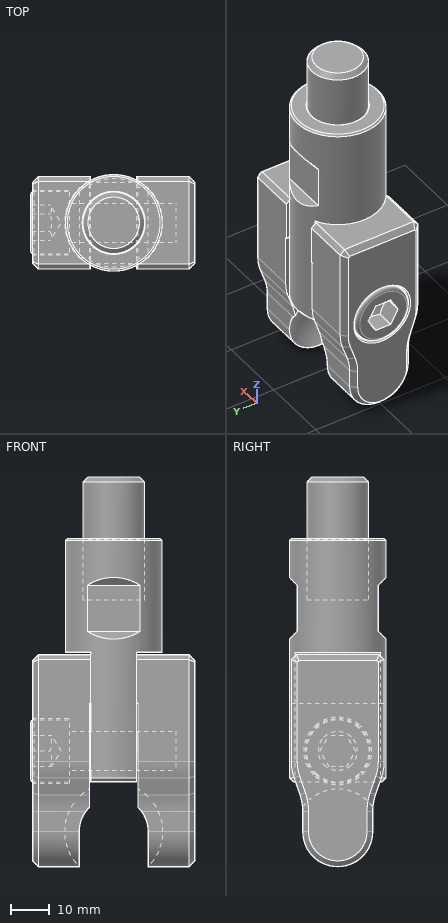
import cadquery as cq
import math


total_height = 101.0
shank_top = 85.0
shoulder_z = 55.6
shank_bottom = 22.0

shank_radius = 12.5
shank_top_chamfer = 0.5
shank_bottom_chamfer = 1.0
tongue_half_width = 6.0
flat_offset = 10.5
flat_bottom = 61.0
flat_top = 72.9

stud_radius = 8.0
stud_chamfer = 1.3
stud_engagement = total_height - shank_top
stud_hole_chamfer = 0.2

jaw_outer_x = 21.0
jaw_half_depth = 12.0
jaw_top = 54.9
jaw_edge_chamfer = 1.3
jaw_face_chamfer = 1.5
tip_radius = 9.1
side_straight_end = 27.3
side_blend_radius = 13.1
side_angle = math.radians(19)
jaw_relief = 0.3
relief_x = tongue_half_width + jaw_relief
relief_top = 42.3
ball_radius = 12.7

screw_z = 30.0
head_radius = 8.1
head_height = 10.0
head_protrusion = 0.5
head_fillet = 0.8
thread_radius = 5.0
thread_end_x = 16.2
hex_flats = 8.0
hex_depth = 5.0
hex_tip_depth = 2.8
head_hole_radius = 8.4
head_hole_chamfer = 0.4

head_x = -jaw_outer_x - head_protrusion
head_seat_x = head_x + head_height


def x_cylinder(radius, x_start, x_end):
    """Cylinder on the clamp screw axis."""
    return (
        cq.Workplane("YZ", origin=(x_start, 0, screw_z))
        .circle(radius)
        .extrude(x_end - x_start)
    )


def z_cylinder(radius, z_start, z_end):
    """Cylinder on the shank axis."""
    return cq.Workplane("XY", origin=(0, 0, z_start)).circle(radius).extrude(z_end - z_start)


def countersink(hole_radius, size, mouth, inward):
    """45 degree cone that chamfers the mouth of a round hole."""
    cone = cq.Solid.makeCone(hole_radius + size, hole_radius, size, mouth, inward)
    return cq.Workplane(cone)


def tongue_side_cutter():
    """Block that takes away the shank on the +X side of the tongue."""
    return cq.Workplane("XY").box(
        shank_radius, 2 * shank_radius, shoulder_z, centered=(False, True, False)
    ).translate((tongue_half_width, 0, 0))


def wrench_flat_cutter():
    """Flat on the -Y side of the shank, its two ends sloping out at 45 degrees."""
    slope = shank_radius - flat_offset
    return (
        cq.Workplane("YZ", origin=(-shank_radius, 0, 0))
        .polyline([
            (-flat_offset, flat_bottom),
            (-flat_offset, flat_top),
            (-flat_offset - slope, flat_top + slope),
            (-flat_offset - slope, flat_bottom - slope),
        ])
        .close()
        .extrude(2 * shank_radius)
    )


def make_shank():
    """Round shank with wrench flats above and a flat tongue between the jaws below."""
    shank = z_cylinder(shank_radius, shank_bottom, shank_top)
    shank = shank.faces(">Z").chamfer(shank_top_chamfer)
    shank = shank.faces("<Z").chamfer(shank_bottom_chamfer)
    for side in (tongue_side_cutter(), tongue_side_cutter().mirror("YZ")):
        shank = shank.cut(side)
    for flat in (wrench_flat_cutter(), wrench_flat_cutter().mirror("XZ")):
        shank = shank.cut(flat)
    stud_hole = z_cylinder(stud_radius, shank_top - stud_engagement, shank_top)
    shank = shank.cut(stud_hole)
    shank = shank.cut(countersink(
        stud_radius, stud_hole_chamfer, cq.Vector(0, 0, shank_top), cq.Vector(0, 0, -1)
    ))
    return shank.cut(x_cylinder(thread_radius, -tongue_half_width, tongue_half_width))


def make_stud():
    """Stud standing in the blind hole of the shank."""
    stud = z_cylinder(stud_radius, shank_top - stud_engagement, total_height)
    return stud.faces(">Z").chamfer(stud_chamfer)


def jaw_outline():
    """Outline of a jaw in Y and Z: wide top, S-shaped sides and a round tip."""
    blend_y = side_blend_radius * (1 - math.cos(side_angle))
    blend_z = side_blend_radius * math.sin(side_angle)
    half_blend_y = side_blend_radius * (1 - math.cos(side_angle / 2))
    half_blend_z = side_blend_radius * math.sin(side_angle / 2)
    slope_y = jaw_half_depth - tip_radius - 2 * blend_y
    slope_z = slope_y / math.tan(side_angle)
    slope_top = side_straight_end - blend_z
    slope_bottom = slope_top - slope_z
    waist_top = slope_bottom - blend_z

    upper_mid = (jaw_half_depth - half_blend_y, side_straight_end - half_blend_z)
    slope_start = (jaw_half_depth - blend_y, slope_top)
    slope_end = (tip_radius + blend_y, slope_bottom)
    lower_mid = (tip_radius + half_blend_y, waist_top + half_blend_z)
    waist_start = (tip_radius, waist_top)

    def opposite(point):
        return (-point[0], point[1])

    return (
        cq.Workplane("YZ")
        .moveTo(jaw_half_depth, jaw_top)
        .lineTo(jaw_half_depth, side_straight_end)
        .threePointArc(upper_mid, slope_start)
        .lineTo(*slope_end)
        .threePointArc(lower_mid, waist_start)
        .lineTo(tip_radius, tip_radius)
        .threePointArc((0, 0), (-tip_radius, tip_radius))
        .lineTo(*opposite(waist_start))
        .threePointArc(opposite(lower_mid), opposite(slope_end))
        .lineTo(*opposite(slope_start))
        .threePointArc(opposite(upper_mid), (-jaw_half_depth, side_straight_end))
        .lineTo(-jaw_half_depth, jaw_top)
        .close()
    )


def make_jaw_blank():
    """Jaw on the +X side without its screw hole."""
    jaw = jaw_outline().extrude(jaw_outer_x)
    jaw = jaw.faces(">Z").edges("|X").chamfer(jaw_edge_chamfer)
    jaw = jaw.faces(">X").chamfer(jaw_face_chamfer)
    tongue_slot = cq.Workplane("XY").box(
        2 * tongue_half_width, 2 * jaw_half_depth, jaw_top, centered=(True, True, False)
    )
    relief = cq.Workplane("XY").box(
        2 * relief_x, 2 * jaw_half_depth, relief_top, centered=(True, True, False)
    )
    ball_seat = cq.Workplane("XY", origin=(0, 0, tip_radius)).sphere(ball_radius)
    return jaw.cut(tongue_slot).cut(relief).cut(ball_seat)


def make_head_jaw():
    """Jaw on the -X side, counterbored for the screw head."""
    jaw = make_jaw_blank().mirror("YZ")
    jaw = jaw.cut(x_cylinder(head_hole_radius, -jaw_outer_x, head_seat_x))
    jaw = jaw.cut(countersink(
        head_hole_radius, head_hole_chamfer, cq.Vector(-jaw_outer_x, 0, screw_z), cq.Vector(1, 0, 0)
    ))
    return jaw.cut(x_cylinder(thread_radius, head_seat_x, 0))


def make_thread_jaw():
    """Jaw on the +X side, with a blind hole for the screw thread."""
    return make_jaw_blank().cut(x_cylinder(thread_radius, 0, thread_end_x))


def hex_socket():
    """Hexagonal socket that ends in a cone reaching the corners of the hexagon."""
    corner_radius = hex_flats / math.sqrt(3)
    full_depth = hex_depth + hex_tip_depth
    prism = (
        cq.Workplane("YZ", origin=(head_x, 0, screw_z))
        .polygon(6, 2 * corner_radius)
        .extrude(full_depth)
    )
    drill = (
        cq.Workplane("XZ", origin=(head_x, 0, screw_z))
        .polyline([(0, 0), (0, corner_radius), (hex_depth, corner_radius), (full_depth, 0)])
        .close()
        .revolve(360, (0, 0), (1, 0))
    )
    return prism.intersect(drill)


def make_screw():
    """Socket head screw that clamps both jaws onto the tongue."""
    head = x_cylinder(head_radius, head_x, head_seat_x).faces("<X").edges().fillet(head_fillet)
    screw = head.union(x_cylinder(thread_radius, head_seat_x, thread_end_x))
    return screw.cut(hex_socket())


shank = make_shank()
stud = make_stud()
head_jaw = make_head_jaw()
thread_jaw = make_thread_jaw()
screw = make_screw()

result = cq.Compound.makeCompound(
    [shank.val(), stud.val(), head_jaw.val(), thread_jaw.val(), screw.val()]
)